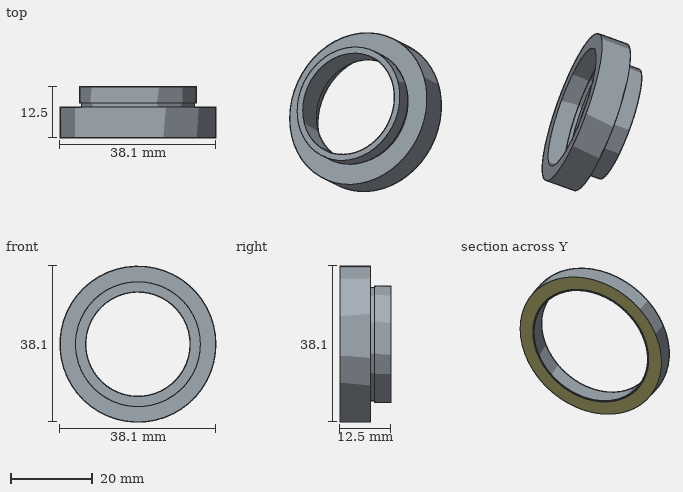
import cadquery as cq

total_length = 12.5
flange_diameter = 38.1
flange_length = 7.5
neck_diameter = 27.7
neck_length = 1.0
spigot_diameter = 28.5
bore_diameter = 25.4
recess_diameter = 30.48
recess_depth = 5.5
relief_diameter = 31.0
relief_width = 1.0

front_y = -total_length / 2
flange_back_y = front_y + flange_length
neck_back_y = flange_back_y + neck_length


def cylinder(diameter, start_y, length):
    """Solid cylinder along +Y from start_y."""
    plane = cq.Workplane("XZ", origin=(0, start_y, 0))
    return plane.circle(diameter / 2).extrude(-length)


flange = cylinder(flange_diameter, front_y, flange_length)
neck = cylinder(neck_diameter, flange_back_y, neck_length)
spigot = cylinder(spigot_diameter, neck_back_y, total_length - flange_length - neck_length)
body = flange.union(neck).union(spigot)

bore = cylinder(bore_diameter, front_y, total_length)
recess = cylinder(recess_diameter, front_y, recess_depth)

relief = cylinder(relief_diameter, front_y + recess_depth - relief_width, relief_width)

result = body.cut(bore).cut(recess).cut(relief)